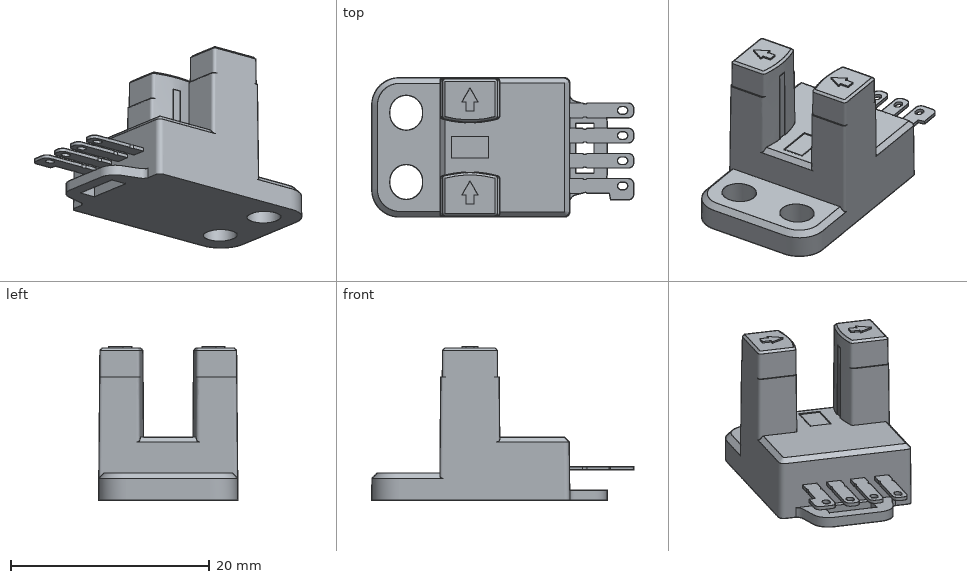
import cadquery as cq
import math

draft = 0.5
housing_length = 20.0
half_width = 7.03

tab_height = 2.78
tab_corner_radius = 2.78
tab_chamfer = 0.55
mount_hole_x = 3.5
mount_hole_y = 3.5
mount_hole_length = 3.5
mount_hole_width = 3.28

body_start = 6.85
body_height = 6.37
body_chamfer = 0.48
body_corner_radius = 0.55

tower_length = 6.13
tower_height = 15.35
step_height = 12.45
step_inset = 0.15
tower_corner_radius = 0.32
tower_chamfer = 0.25
gap_half_width = 2.4
bulge_depth = 0.48
tower_end = body_start + tower_length
tower_mid = body_start + tower_length / 2

slit_length = 0.9
slit_top = 13.83
slit_depth = 0.1
window_length = 3.7
window_width = 2.17
window_depth = 0.1

arrow_height = 0.15
arrow_half_width = 0.82
arrow_stem_half_width = 0.42
arrow_length = 2.33
arrow_head_length = 1.43
arrow_tips = (6.0, -3.38)

terminal_count = 4
terminal_pitch = 2.55
terminal_row_y = -0.08
terminal_width = 1.5
terminal_bottom = 3.07
terminal_thickness = 0.35
terminal_end = 26.45
terminal_corner_radius = 0.58
terminal_root = 18.5
neck_start = 21.25
neck_length = 0.48
neck_depth = 0.1
eye_x = 25.3
eye_length = 1.0
eye_width = 0.75
foot_start = 23.95
foot_depth = 0.65
foot_slant = 0.13

bracket_height = 1.03
bracket_end = 23.77
bracket_root_half_width = 5.3
bracket_neck_x = 20.55
bracket_neck_half_width = 4.73
bracket_shoulder_x = 22.53
bracket_shoulder_half_width = 4.2
bracket_tip_half_width = 2.49
bracket_window_start = 20.6
bracket_window_end = 22.4
bracket_window_width = 5.02


def rectangle(x_min, x_max, y_min, y_max):
    """Rectangle on Z = 0 given by its limits."""
    center = ((x_min + x_max) / 2, (y_min + y_max) / 2)
    return cq.Workplane("XY").center(*center).rect(x_max - x_min, y_max - y_min)


def is_upright(edge):
    """True for an edge that rises much more than it runs sideways."""
    box = edge.BoundingBox()
    return box.zlen > 2 * max(box.xlen, box.ylen)


def round_upright_edges(solid, radius, side):
    """Fillet the upright edges that bound the end face on the given side."""
    end_face = solid.faces(side)
    upright = [e for e in end_face.edges().vals() if is_upright(e)]
    return solid.newObject(upright).fillet(radius)


def make_tab():
    tab = rectangle(0, tower_mid, -half_width, half_width).extrude(tab_height, taper=draft)
    tab = round_upright_edges(tab, tab_corner_radius, "<X")
    tab = tab.faces(">Z").chamfer(tab_chamfer)
    holes = (
        cq.Workplane("XY")
        .pushPoints([(mount_hole_x, mount_hole_y), (mount_hole_x, -mount_hole_y)])
        .slot2D(mount_hole_length, mount_hole_width, 90)
        .extrude(tab_height)
    )
    return tab.cut(holes)


def make_front_block():
    """Lower half of the towers and the gap floor between them, bevelled toward the tab."""
    block_end = tower_end - body_corner_radius
    block = rectangle(body_start, block_end, -half_width, half_width).extrude(body_height, taper=draft)
    block = round_upright_edges(block, tower_corner_radius, "<X")
    bevel_x = body_start + body_height * math.tan(math.radians(draft))
    bevel = (
        cq.Workplane("XZ", origin=(bevel_x, 0, body_height))
        .polyline([
            (-body_chamfer, -2 * body_chamfer),
            (-body_chamfer, body_chamfer),
            (2 * body_chamfer, body_chamfer),
        ])
        .close()
        .extrude(half_width, both=True)
    )
    return block.cut(bevel)


def make_rear_block():
    outline = rectangle(tower_mid, housing_length, -half_width, half_width)
    block = outline.extrude(body_height, taper=draft)
    block = round_upright_edges(block, body_corner_radius, ">X")
    return block.faces(">Z").edges("not <X").chamfer(body_chamfer)


def make_column(height):
    """Sharp-edged, drafted +Y column whose inner face bulges toward the gap."""
    inner_y = gap_half_width + bulge_depth
    return (
        cq.Workplane("XY")
        .moveTo(body_start, half_width)
        .lineTo(body_start, inner_y)
        .threePointArc((tower_mid, gap_half_width), (tower_end, inner_y))
        .lineTo(tower_end, half_width)
        .close()
        .extrude(height, taper=draft)
    )


def make_ledge_cutter():
    """Frame around the upper part of a tower that leaves a ledge at both X ends."""
    upper_part = rectangle(
        body_start + step_inset,
        tower_end - step_inset,
        -half_width,
        2 * half_width,
    ).extrude(tower_height, taper=draft)
    frame = (
        cq.Workplane("XY", origin=(tower_mid, 0, step_height))
        .rect(2 * tower_length, 3 * half_width)
        .extrude(tower_height - step_height)
    )
    return frame.cut(upper_part)


def make_tower():
    tower = make_column(tower_height).cut(make_ledge_cutter())
    upper_edges = [e for e in tower.edges().vals() if e.Center().z > step_height and is_upright(e)]
    tower = tower.newObject(upper_edges).fillet(tower_corner_radius)
    tower = tower.faces(">Z").chamfer(tower_chamfer)

    sharp_lower = make_column(step_height)
    lower_edges = [e for e in sharp_lower.edges().vals() if is_upright(e)]
    round_lower = sharp_lower.newObject(lower_edges).fillet(tower_corner_radius)
    tower = tower.cut(sharp_lower.cut(round_lower))

    crown_y = gap_half_width + body_height * math.tan(math.radians(draft))
    slit = (
        cq.Workplane("XY", origin=(tower_mid, crown_y, body_height))
        .rect(slit_length, 2 * slit_depth)
        .extrude(slit_top - body_height)
    )
    return tower.cut(slit)


def make_arrow(tip_y):
    head_y = tip_y - arrow_head_length
    tail_y = tip_y - arrow_length
    return (
        cq.Workplane("XY", origin=(tower_mid, 0, tower_height))
        .polyline([
            (0, tip_y),
            (arrow_half_width, head_y),
            (arrow_stem_half_width, head_y),
            (arrow_stem_half_width, tail_y),
            (-arrow_stem_half_width, tail_y),
            (-arrow_stem_half_width, head_y),
            (-arrow_half_width, head_y),
        ])
        .close()
        .extrude(arrow_height)
    )


def make_gap_window():
    """Shallow recess in the gap floor."""
    return (
        cq.Workplane("XY", origin=(tower_mid, 0, body_height))
        .rect(window_length, window_width)
        .extrude(-window_depth)
    )


def make_terminal(center_y, has_foot):
    half = terminal_width / 2
    plane = cq.Workplane("XY", origin=(0, center_y, terminal_bottom))
    blade = plane.moveTo(terminal_root, half).lineTo(terminal_end, half)
    if has_foot:
        blade = (
            blade.lineTo(terminal_end, -half - foot_depth)
            .lineTo(foot_start + foot_slant, -half - foot_depth)
            .lineTo(foot_start, -half)
        )
    else:
        blade = blade.lineTo(terminal_end, -half)
    blade = blade.lineTo(terminal_root, -half).close().extrude(terminal_thickness)
    blade = blade.edges("|Z and >X").fillet(terminal_corner_radius)
    for side in (1, -1):
        edge_y = side * half
        neck = (
            plane.moveTo(neck_start, edge_y)
            .threePointArc(
                (neck_start + neck_length / 2, edge_y - side * neck_depth),
                (neck_start + neck_length, edge_y),
            )
            .close()
            .extrude(terminal_thickness)
        )
        blade = blade.cut(neck)
    eye = plane.center(eye_x, 0).slot2D(eye_length, eye_width).extrude(terminal_thickness)
    return blade.cut(eye)


def make_bracket():
    bracket = (
        cq.Workplane("XY", origin=(0, terminal_row_y, 0))
        .moveTo(bracket_end, 0)
        .lineTo(bracket_end, bracket_tip_half_width)
        .tangentArcPoint((bracket_shoulder_x, bracket_shoulder_half_width), relative=False)
        .lineTo(bracket_neck_x, bracket_neck_half_width)
        .tangentArcPoint((housing_length, bracket_root_half_width), relative=False)
        .lineTo(terminal_root, bracket_root_half_width)
        .lineTo(terminal_root, 0)
        .close()
        .extrude(bracket_height)
    )
    bracket = bracket.union(bracket.mirror("XZ", (0, terminal_row_y, 0)))
    window = rectangle(
        bracket_window_start,
        bracket_window_end,
        terminal_row_y - bracket_window_width / 2,
        terminal_row_y + bracket_window_width / 2,
    ).extrude(bracket_height)
    return bracket.cut(window)


tower = make_tower()
result = make_tab().union(make_front_block()).union(make_rear_block())
result = result.union(tower).union(tower.mirror("XZ"))
result = result.cut(make_gap_window())
for tip in arrow_tips:
    result = result.union(make_arrow(tip))

result = result.union(make_bracket())
for index in range(terminal_count):
    row_y = terminal_row_y + ((terminal_count - 1) / 2 - index) * terminal_pitch
    result = result.union(make_terminal(row_y, has_foot=index == terminal_count - 1))